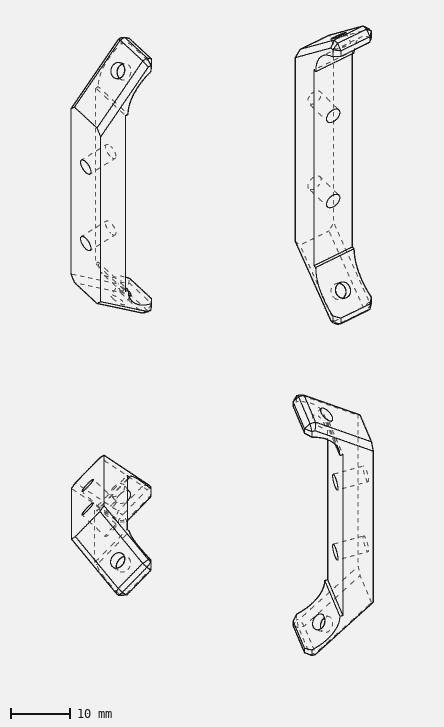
import cadquery as cq

length = 66.0
width = 8.0
depth = 12.0
bar_thickness = 5.5
slope_run = 10.0
chamfer = 1.0
arc_radius = 8.0
arc_start_y = 6.0
hole_diameter = 2.8
bar_hole_spacing = 20.0
end_hole_spacing = 60.0

half_length = length / 2
slope_start_z = half_length - slope_run
arc_center_y = arc_start_y + arc_radius
clearance = 3.3


def make_blank():
    """Extruded block with both front corners cut away at 45 degrees."""
    return (
        cq.Workplane("YZ")
        .moveTo(0, -slope_start_z)
        .lineTo(slope_run, -half_length)
        .lineTo(depth, -half_length)
        .lineTo(depth, half_length)
        .lineTo(slope_run, half_length)
        .lineTo(0, slope_start_z)
        .close()
        .extrude(width / 2, both=True)
    )


def chamfer_blank(blank):
    """Bevel the side edges, except along the front face, and the outer back edges."""
    side_edges = blank.faces("<X or >X").edges("not(<Y)")
    end_edges = blank.faces(">Y").edges("|X")
    return side_edges.add(end_edges).chamfer(chamfer)


def make_back_relief():
    """Everything behind the bar: a straight recess and a round hollow at each end."""
    recess_depth = depth + clearance - bar_thickness
    relief = cq.Workplane("XY").box(width, recess_depth, 2 * slope_start_z).translate(
        (0, bar_thickness + recess_depth / 2, 0)
    )
    for side in (-1, 1):
        hollow = (
            cq.Workplane("YZ")
            .center(arc_center_y, side * slope_start_z)
            .circle(arc_radius)
            .extrude(width / 2, both=True)
        )
        relief = relief.union(hollow)
    return relief


def make_hole(center, direction):
    """Round cutter running both ways through a point on the surface."""
    plane = cq.Plane(origin=center, xDir=(1, 0, 0), normal=direction)
    return cq.Workplane(plane).circle(hole_diameter / 2).extrude(depth, both=True)


result = chamfer_blank(make_blank()).cut(make_back_relief())

for side in (-1, 1):
    bar_hole_z = side * bar_hole_spacing / 2
    result = result.cut(make_hole((0, 0, bar_hole_z), (0, 1, 0)))

    end_hole_z = end_hole_spacing / 2
    end_hole_y = end_hole_z - slope_start_z
    result = result.cut(make_hole((0, end_hole_y, side * end_hole_z), (0, 1, -side)))